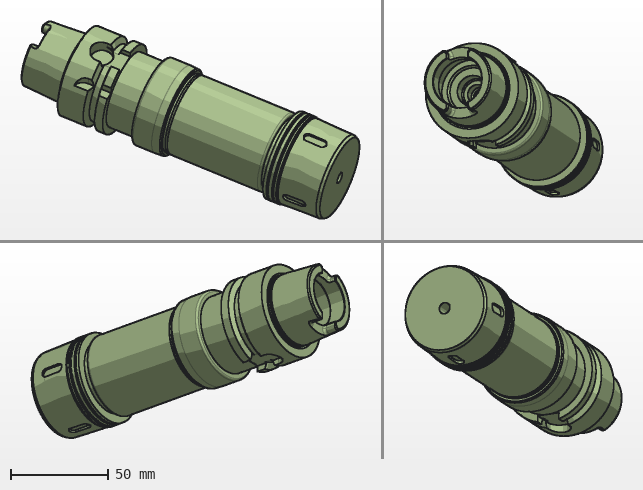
import cadquery as cq
import math

LENGTH = 175.0
BEYOND = 70.0

SHANK_LENGTH = 24.8
SHANK_TIP_R = 18.0
SHANK_BASE_R = 19.2
TIP_CHAMFER_X = 0.7
TIP_CHAMFER_R = 0.9
RELIEF_START = 22.8
RELIEF_R = 18.9
RELIEF_STRAIGHT_END = 23.8
RELIEF_ROOT_X = 24.5
RELIEF_ROOT_R = 18.5
FACE_GROOVE_R = 20.3
FACE_GROOVE_DEPTH = 0.7

FLANGE_R = 25.0
FLANGE_END = 51.0
GROOVE_FLOOR_START = 41.5
GROOVE_FLOOR_END = 45.0
GROOVE_FRONT_SLOPE_X = 1.8
GROOVE_REAR_SLOPE_X = 1.2
GROOVE_R = 21.5
NECK_R = 21.0

COLLAR_START = 67.0
COLLAR_END = 84.0
COLLAR_R = 48.8 / 2
COLLAR_ROUND = 1.0
COLLAR_TAPER_START = 78.8
COLLAR_TAPER_END = 83.3
COLLAR_REAR_R = 24.2
COLLAR_REAR_EDGE_R = 23.5

BODY_R = 22.0
BODY_GROOVE_START = 85.4
BODY_GROOVE_END = 86.6
BODY_GROOVE_DEPTH = 0.2
BODY_END = 139.8
BODY_ROUND = 1.2
NUT_NECK_R = 19.5

NUT_START = 143.2
NUT_R = COLLAR_R
NUT_GROOVE_R = 23.8
NUT_GROOVE_WIDTH = 0.9
NUT_GROOVE_STARTS = (145.0, 148.2, 150.7)
NUT_TAPER_R = 24.0
NUT_TIP_R = 23.3
NUT_CHAMFER_X = 1.8
NUT_CHAMFER_R = 0.9
WRENCH_SLOT_LENGTH = 12.8
WRENCH_SLOT_WIDTH = 4.7
WRENCH_SLOT_CENTRE = 160.8
WRENCH_SLOT_FLOOR_R = 22.2
WRENCH_SLOT_COUNT = 4

BORE_MOUTH_R = 26.6 / 2
BORE_R = 26.0 / 2
BORE_MOUTH_CHAMFER = BORE_MOUTH_R - BORE_R
BORE_DEPTH = 25.0
CLAMP_GROOVE_START = 9.3
CLAMP_GROOVE_R = 32.0 / 2
CLAMP_GROOVE_ANGLE = 60
BORE_FLOOR_R = 24.0 / 2
BORE_FLOOR_CHAMFER = BORE_R - BORE_FLOOR_R
TUBE_SEAT_R = 16.0 / 2
TUBE_SEAT_DEPTH = 33.2
TUBE_SEAT_FLOOR_R = 7.2
TUBE_SEAT_CHAMFER = TUBE_SEAT_R - TUBE_SEAT_FLOOR_R
TUBE_R = 10.0 / 2
TUBE_DEPTH = 40.2
TUBE_FLOOR_R = 4.0
TUBE_CHAMFER = TUBE_R - TUBE_FLOOR_R
THROUGH_R = 3.0

DRIVE_SLOT_HALF = 5.2
DRIVE_SHOULDER_Z = 16.1
DRIVE_SHOULDER_ROUND = 2.3
DRIVE_FLOOR_ROUND = 1.4
DRIVE_MOUTH_CHAMFER = 0.7
DRIVE_TOP_DEPTH = 4.7
DRIVE_BOTTOM_DEPTH = 7.5

CUTTER_R = 12.0 / 2
KEYWAY_CENTRE_X = 37.6
KEYWAY_FLOOR_Z = 21.0
CHIP_POCKET_FLOOR_Z = 17.5
NOTCH_Y = -15.4
NOTCH_Z = 15.4


def revolve_about_x(profile):
    return cq.Workplane("XY").polyline(profile).close().revolve(360, (0, 0, 0), (1, 0, 0))


def round_rim(body, x, radius, size):
    """Fillet the circular edge of the given radius at x."""
    margin = 0.02
    rim = cq.selectors.BoxSelector(
        (x - margin, -radius - margin, -radius - margin),
        (x + margin, radius + margin, radius + margin),
        boundingbox=True,
    )
    return body.edges(rim).edges(cq.selectors.RadiusNthSelector(-1)).fillet(size)


def turned_body():
    profile = [
        (0, 0),
        (0, SHANK_TIP_R - TIP_CHAMFER_R),
        (TIP_CHAMFER_X, SHANK_TIP_R),
        (RELIEF_START, SHANK_BASE_R),
        (RELIEF_START + SHANK_BASE_R - RELIEF_R, RELIEF_R),
        (RELIEF_STRAIGHT_END, RELIEF_R),
        (RELIEF_ROOT_X, RELIEF_ROOT_R),
        (SHANK_LENGTH + FACE_GROOVE_DEPTH, RELIEF_ROOT_R),
        (SHANK_LENGTH + FACE_GROOVE_DEPTH, RELIEF_ROOT_R + FACE_GROOVE_DEPTH),
        (SHANK_LENGTH, FACE_GROOVE_R),
        (SHANK_LENGTH, FLANGE_R),
        (GROOVE_FLOOR_START - GROOVE_FRONT_SLOPE_X, FLANGE_R),
        (GROOVE_FLOOR_START, GROOVE_R),
        (GROOVE_FLOOR_END, GROOVE_R),
        (GROOVE_FLOOR_END + GROOVE_REAR_SLOPE_X, FLANGE_R),
        (FLANGE_END, FLANGE_R),
        (FLANGE_END, NECK_R),
        (COLLAR_START, NECK_R),
        (COLLAR_START, COLLAR_R),
        (COLLAR_TAPER_START, COLLAR_R),
        (COLLAR_TAPER_END, COLLAR_REAR_R),
        (COLLAR_END, COLLAR_REAR_EDGE_R),
        (COLLAR_END, BODY_R),
        (BODY_GROOVE_START, BODY_R),
        (BODY_GROOVE_START, BODY_R - BODY_GROOVE_DEPTH),
        (BODY_GROOVE_END, BODY_R - BODY_GROOVE_DEPTH),
        (BODY_GROOVE_END, BODY_R),
        (BODY_END, BODY_R),
        (BODY_END, NUT_NECK_R),
        (NUT_START, NUT_NECK_R),
        (NUT_START, NUT_R),
    ]
    for start in NUT_GROOVE_STARTS:
        end = start + NUT_GROOVE_WIDTH
        rear_r = NUT_TAPER_R if start == NUT_GROOVE_STARTS[-1] else NUT_R
        profile += [(start, NUT_R), (start, NUT_GROOVE_R), (end, NUT_GROOVE_R), (end, rear_r)]
    profile += [
        (LENGTH - NUT_CHAMFER_X, NUT_TIP_R),
        (LENGTH, NUT_TIP_R - NUT_CHAMFER_R),
        (LENGTH, 0),
    ]
    return revolve_about_x(profile)


def stepped_bore():
    shoulder_run = (CLAMP_GROOVE_R - BORE_R) / math.tan(math.radians(CLAMP_GROOVE_ANGLE))
    profile = [
        (0, 0),
        (0, BORE_MOUTH_R),
        (BORE_MOUTH_CHAMFER, BORE_R),
        (CLAMP_GROOVE_START, BORE_R),
        (CLAMP_GROOVE_START + shoulder_run, CLAMP_GROOVE_R),
        (BORE_DEPTH - BORE_FLOOR_CHAMFER, CLAMP_GROOVE_R),
        (BORE_DEPTH - BORE_FLOOR_CHAMFER, BORE_R),
        (BORE_DEPTH, BORE_FLOOR_R),
        (BORE_DEPTH, TUBE_SEAT_R),
        (TUBE_SEAT_DEPTH - TUBE_SEAT_CHAMFER, TUBE_SEAT_R),
        (TUBE_SEAT_DEPTH, TUBE_SEAT_FLOOR_R),
        (TUBE_SEAT_DEPTH, TUBE_R),
        (TUBE_DEPTH - TUBE_CHAMFER, TUBE_R),
        (TUBE_DEPTH, TUBE_FLOOR_R),
        (TUBE_DEPTH, THROUGH_R),
        (LENGTH, THROUGH_R),
        (LENGTH, 0),
    ]
    return revolve_about_x(profile)


def drive_slot_outline():
    """Slot section on the +Z side, opening out over rounded shoulders."""
    corner_y = DRIVE_SLOT_HALF + DRIVE_SHOULDER_ROUND
    corner_z = DRIVE_SHOULDER_Z - DRIVE_SHOULDER_ROUND
    arc_reach = DRIVE_SHOULDER_ROUND * math.sqrt(0.5)
    mid_y = corner_y - arc_reach
    mid_z = corner_z + arc_reach
    return (
        cq.Workplane("YZ")
        .moveTo(-DRIVE_SLOT_HALF, 0)
        .lineTo(DRIVE_SLOT_HALF, 0)
        .lineTo(DRIVE_SLOT_HALF, corner_z)
        .threePointArc((mid_y, mid_z), (corner_y, DRIVE_SHOULDER_Z))
        .lineTo(BEYOND, DRIVE_SHOULDER_Z)
        .lineTo(BEYOND, BEYOND)
        .lineTo(-BEYOND, BEYOND)
        .lineTo(-BEYOND, DRIVE_SHOULDER_Z)
        .lineTo(-corner_y, DRIVE_SHOULDER_Z)
        .threePointArc((-mid_y, mid_z), (-DRIVE_SLOT_HALF, corner_z))
        .close()
    )


def drive_slot(depth):
    """Slot into the tip with a rounded floor edge and a chamfered mouth."""
    slot = drive_slot_outline().extrude(depth).faces(">X").edges().fillet(DRIVE_FLOOR_ROUND)
    mouth = drive_slot_outline().offset2D(DRIVE_MOUTH_CHAMFER).extrude(DRIVE_MOUTH_CHAMFER, taper=45)
    return slot.union(mouth)


def flange_slot(centre_y, floor_z):
    """Round-ended slot open toward +Z that runs out through the +X side of the flange."""
    run = FLANGE_END - KEYWAY_CENTRE_X
    plane = cq.Workplane("XY", origin=(KEYWAY_CENTRE_X, centre_y, floor_z))
    straight = plane.rect(run, 2 * CUTTER_R, centered=(False, True)).extrude(BEYOND)
    return straight.union(plane.circle(CUTTER_R).extrude(BEYOND))


def wrench_slot(angle):
    slot = (
        cq.Workplane("XY", origin=(WRENCH_SLOT_CENTRE, 0, WRENCH_SLOT_FLOOR_R))
        .slot2D(WRENCH_SLOT_LENGTH, WRENCH_SLOT_WIDTH)
        .extrude(BEYOND)
    )
    return slot.rotate((0, 0, 0), (1, 0, 0), angle)


result = turned_body()
result = round_rim(result, COLLAR_START, COLLAR_R, COLLAR_ROUND)
result = round_rim(result, BODY_END, BODY_R, BODY_ROUND)
result = result.cut(stepped_bore())

result = result.cut(drive_slot(DRIVE_TOP_DEPTH))
result = result.cut(drive_slot(DRIVE_BOTTOM_DEPTH).rotate((0, 0, 0), (1, 0, 0), 180))

keyway = flange_slot(0, KEYWAY_FLOOR_Z)
chip_pocket = (
    cq.Workplane("XY", origin=(KEYWAY_CENTRE_X, 0, CHIP_POCKET_FLOOR_Z)).circle(CUTTER_R).extrude(BEYOND)
)
result = result.cut(keyway).cut(keyway.rotate((0, 0, 0), (1, 0, 0), 180)).cut(chip_pocket)

result = result.cut(flange_slot(NOTCH_Y - CUTTER_R, NOTCH_Z))

for i in range(WRENCH_SLOT_COUNT):
    result = result.cut(wrench_slot(i * 360 / WRENCH_SLOT_COUNT))